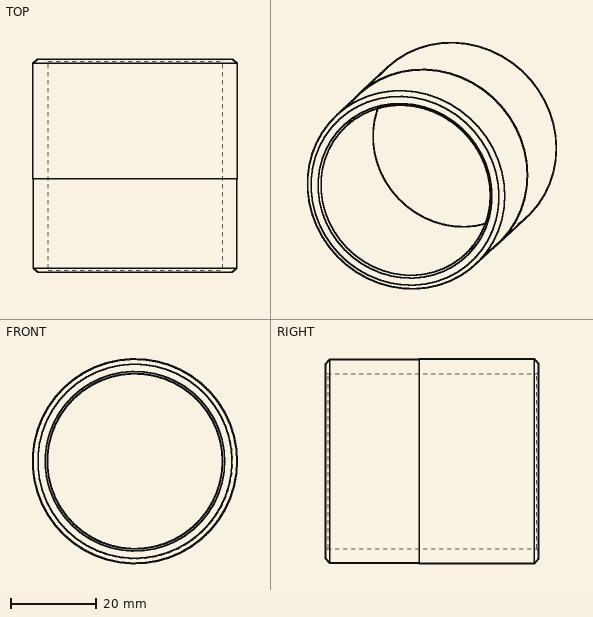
import cadquery as cq

length = 50.0
rear_diameter = 48.0
front_diameter = 47.8
bore_diameter = 41.0
front_length = 22.0
edge_chamfer_length = 1.0
edge_chamfer_depth = 1.15
bore_chamfer = 0.55

rear_radius = rear_diameter / 2
front_radius = front_diameter / 2
bore_radius = bore_diameter / 2
front_y = -length / 2
rear_y = length / 2
step_y = front_y + front_length

half_section = [
    (bore_radius + bore_chamfer, front_y),
    (front_radius - edge_chamfer_depth, front_y),
    (front_radius, front_y + edge_chamfer_length),
    (front_radius, step_y),
    (rear_radius, step_y),
    (rear_radius, rear_y - edge_chamfer_length),
    (rear_radius - edge_chamfer_depth, rear_y),
    (bore_radius + bore_chamfer, rear_y),
    (bore_radius, rear_y - bore_chamfer),
    (bore_radius, front_y + bore_chamfer),
]

result = (
    cq.Workplane("XY")
    .polyline(half_section)
    .close()
    .revolve(360, (0, 0, 0), (0, 1, 0))
)